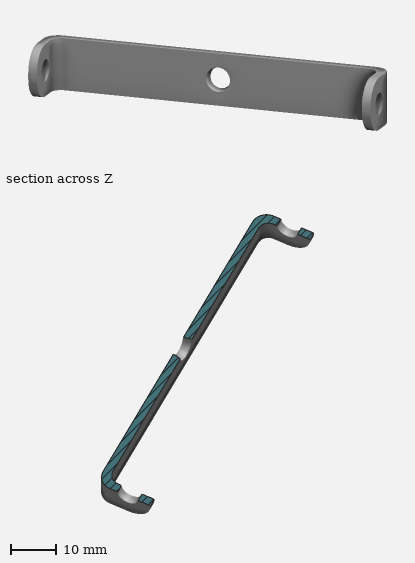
import cadquery as cq

length = 80.4
depth = 13.5
width = 12.0
thickness = 2.0

outer_bend_radius = 3.45
inner_bend_radius = 2.5
tip_radius = 5.5

hole_diameter = 5.0
arm_hole_from_back = 7.9
web_hole_x = 0.25
taper_mouth_diameter = 5.6
taper_depth = 1.5

back_y = depth / 2
web_inner_y = back_y - thickness


def bent_strip():
    """U-shaped strip, open toward -Y, with rounded bends and arm tips."""
    block = cq.Workplane("XY").box(length, depth, width)
    block = block.edges("|Z and >Y").fillet(outer_bend_radius)

    opening_length = length - 2 * thickness
    opening_depth = depth - thickness
    opening = (
        cq.Workplane("XY")
        .box(opening_length, opening_depth, width)
        .edges("|Z and >Y")
        .fillet(inner_bend_radius)
        .translate((0, -thickness / 2, 0))
    )
    return block.cut(opening).edges("|X and <Y").fillet(tip_radius)


def arm_holes():
    """One bar along X that pierces both arms."""
    return (
        cq.Workplane("YZ")
        .center(back_y - arm_hole_from_back, 0)
        .circle(hole_diameter / 2)
        .extrude(length / 2, both=True)
    )


def web_hole():
    """Through hole in the web, tapering from a wide mouth on the inner face to a short straight end."""
    through = cq.Workplane("XZ", origin=(web_hole_x, back_y, 0)).circle(hole_diameter / 2).extrude(thickness)
    taper = (
        cq.Workplane("XZ", origin=(web_hole_x, web_inner_y, 0))
        .circle(taper_mouth_diameter / 2)
        .workplane(offset=-taper_depth)
        .circle(hole_diameter / 2)
        .loft(ruled=True)
    )
    return through.union(taper)


result = bent_strip().cut(arm_holes()).cut(web_hole())